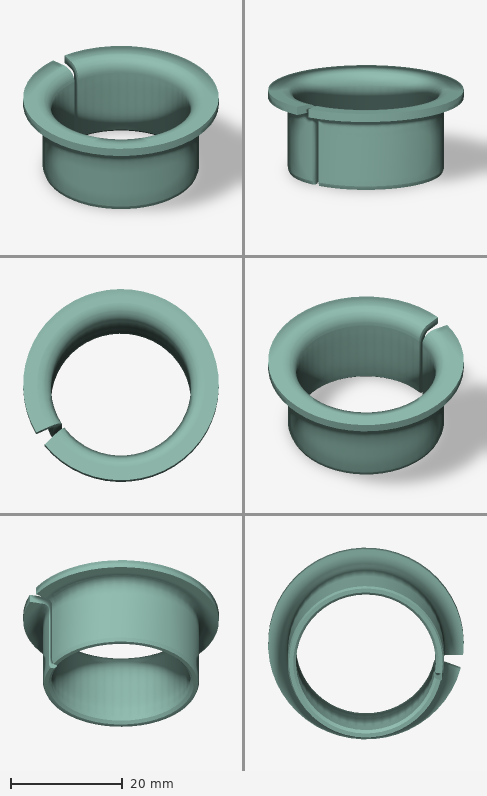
import cadquery as cq
import math

length = 15.0
wall = 1.5
bore_radius = 12.5
flange_radius = 17.5
bend_inner_radius = 1.0
body_radius = bore_radius + wall
bend_outer_radius = bend_inner_radius + wall

outer_chamfer_height = 0.7
outer_chamfer_angle = 20.0
outer_chamfer_width = outer_chamfer_height * math.tan(math.radians(outer_chamfer_angle))
inner_chamfer = 0.5

joint_bore_width = 0.9
joint_face_angle = 10.0


def make_bush():
    """Revolve the L-shaped wall section about Z, with its seam on the -X side where the joint is cut."""
    bend_radial = body_radius + bend_inner_radius
    bend_z = length - bend_outer_radius
    cos_45 = math.cos(math.pi / 4)
    outer_bend_mid = (bend_radial - bend_outer_radius * cos_45, bend_z + bend_outer_radius * cos_45)
    inner_bend_mid = (bend_radial - bend_inner_radius * cos_45, bend_z + bend_inner_radius * cos_45)
    section = (
        cq.Workplane("XZ")
        .moveTo(bore_radius + inner_chamfer, 0)
        .lineTo(bore_radius, inner_chamfer)
        .lineTo(bore_radius, bend_z)
        .threePointArc(outer_bend_mid, (bend_radial, length))
        .lineTo(flange_radius, length)
        .lineTo(flange_radius, length - wall)
        .lineTo(bend_radial, length - wall)
        .threePointArc(inner_bend_mid, (body_radius, bend_z))
        .lineTo(body_radius, outer_chamfer_height)
        .lineTo(body_radius - outer_chamfer_width, 0)
        .close()
    )
    bush = section.revolve(360, (0, 0, 0), (0, 1, 0))
    return bush.rotate((0, 0, 0), (0, 0, 1), 180)


def make_joint():
    """Wedge that splits the ring along its full length."""
    slope = math.tan(math.radians(joint_face_angle))
    apex_x = joint_bore_width / 2 / slope - bore_radius
    outer_x = -flange_radius - wall
    half_width = (apex_x - outer_x) * slope
    return (
        cq.Workplane("XY")
        .polyline([(apex_x, 0), (outer_x, half_width), (outer_x, -half_width)])
        .close()
        .extrude(length)
    )


result = make_bush().cut(make_joint())